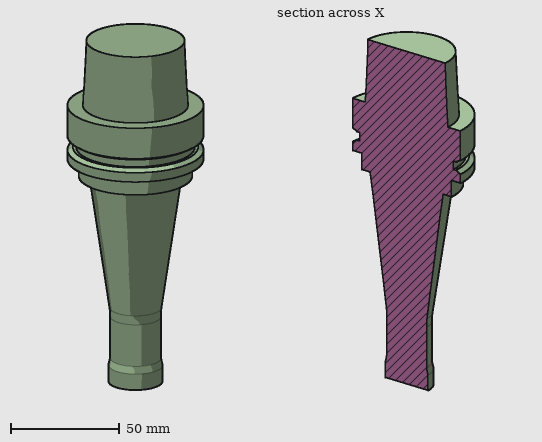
import cadquery as cq
import math

total_height = 167.0
collar_top = 135.3
groove_top = 118.9
groove_bottom = 114.9
flange_bottom = 108.9
ring_bottom = 100.7
cone_bottom = 36.4
neck_top = 31.9
neck_bottom = 11.5
nose_top = 8.0

shank_top_diameter = 45.5
shank_taper = 0.1
collar_diameter = 63.0
groove_diameter = 55.0
ring_diameter = 52.6
cone_top_diameter = 43.0
neck_diameter = 23.5
nose_diameter = 25.0

bevel_width = 2.5
bevel_angle = 30.0
bevel_height = bevel_width * math.tan(math.radians(bevel_angle))

shank_top_radius = shank_top_diameter / 2
shank_base_radius = shank_top_radius + shank_taper * (total_height - collar_top) / 2
collar_radius = collar_diameter / 2
rim_radius = collar_radius - bevel_width
groove_radius = groove_diameter / 2
ring_radius = ring_diameter / 2
cone_top_radius = cone_top_diameter / 2
neck_radius = neck_diameter / 2
nose_radius = nose_diameter / 2

blend_height = cone_bottom - neck_top
blend_middle = neck_top + blend_height / 2
cone_angle = math.atan((cone_top_radius - neck_radius) / (ring_bottom - blend_middle))
blend_radius = blend_height / math.sin(cone_angle)


def blend_point(angle):
    """Point on the neck blend where the surface leans outward by the given angle."""
    radius = neck_radius + blend_radius * (1 - math.cos(angle))
    return radius, neck_top + blend_radius * math.sin(angle)


profile = (
    cq.Workplane("XZ")
    .moveTo(0, 0)
    .lineTo(nose_radius, 0)
    .lineTo(nose_radius, nose_top)
    .lineTo(neck_radius, neck_bottom)
    .lineTo(neck_radius, neck_top)
    .threePointArc(blend_point(cone_angle / 2), blend_point(cone_angle))
    .lineTo(cone_top_radius, ring_bottom)
    .lineTo(ring_radius, ring_bottom)
    .lineTo(ring_radius, flange_bottom)
    .lineTo(collar_radius, flange_bottom)
    .lineTo(collar_radius, groove_bottom - bevel_height)
    .lineTo(rim_radius, groove_bottom)
    .lineTo(groove_radius, groove_bottom)
    .lineTo(groove_radius, groove_top)
    .lineTo(rim_radius, groove_top)
    .lineTo(collar_radius, groove_top + bevel_height)
    .lineTo(collar_radius, collar_top)
    .lineTo(shank_base_radius, collar_top)
    .lineTo(shank_top_radius, total_height)
    .lineTo(0, total_height)
    .close()
)

result = profile.revolve(360, (0, 0, 0), (0, 1, 0))